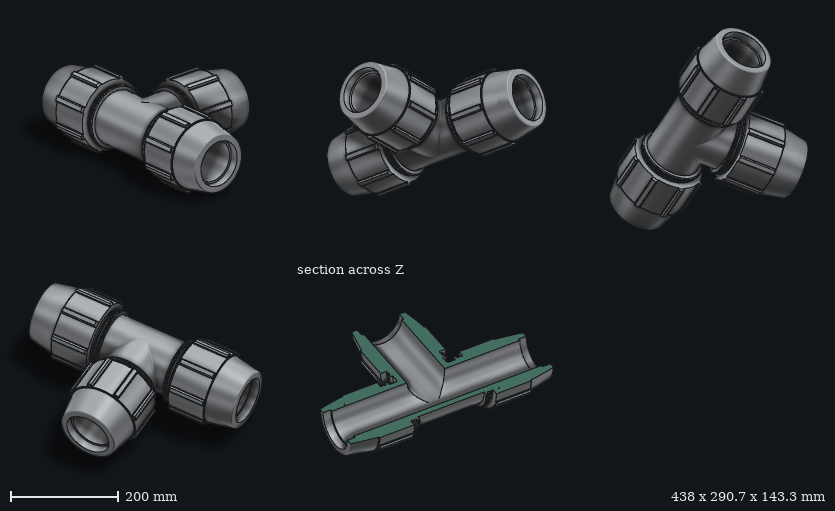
import cadquery as cq
import math

arm_reach = 219.0
pipe_dia = 108.0
bore_dia = 81.0
mouth_dia = 90.0
mouth_depth = 16.5

nose_length = 54.8
nose_tip_dia = 117.0
nose_base_dia = 135.5
nose_bulge = 0.65
nose_rounding = 3.5
nut_dia = 140.5
nut_chamfer = 1.5
nut_end = 131.0

rib_count = 8
rib_top_radius = 75.8
rib_shoulder_radius = 72.3
rib_root_radius = 68.0
rib_top_width = 8.5
rib_width = 12.3
rib_setback = 1.5
rib_outer_chamfer = 1.5
rib_inner_chamfer = 3.5

spigot_dia = 114.0
ring_dia = 119.5
ring_start = 135.0
ring_width = 3.0
flange_dia = 125.3
flange_start = 142.5
flange_width = 5.5
flange_chamfer = 1.8

crotch_radius = 3.0


def disc(dia, start, end):
    """Cylinder on the X axis between two distances from the open end of the arm."""
    return cq.Workplane("YZ", origin=(start - arm_reach, 0, 0)).circle(dia / 2).extrude(end - start)


def make_nose():
    """Slightly bulging cone in front of the nut, with a rounded tip."""
    tip_radius = nose_tip_dia / 2
    base_radius = nose_base_dia / 2
    tip_x = -arm_reach
    base_x = tip_x + nose_length
    shoulder_x = tip_x + nose_rounding
    middle = ((shoulder_x + base_x) / 2, (tip_radius + base_radius) / 2 + nose_bulge)
    rounding_middle = nose_rounding * (1 - math.sqrt(0.5))
    profile = (
        cq.Workplane("XY")
        .moveTo(tip_x, 0)
        .lineTo(tip_x, tip_radius - nose_rounding)
        .threePointArc(
            (tip_x + rounding_middle, tip_radius - rounding_middle),
            (shoulder_x, tip_radius),
        )
        .threePointArc(middle, (base_x, base_radius))
        .lineTo(base_x, 0)
        .close()
    )
    return profile.revolve(360, (0, 0, 0), (1, 0, 0))


def make_rib(inner_chamfer):
    """Grip rib along the top of the nut, bevelled outside and, if asked, towards the tee."""
    start = nose_length + rib_setback
    rib = (
        cq.Workplane("YZ", origin=(start - arm_reach, 0, 0))
        .polyline([
            (-rib_width / 2, rib_root_radius),
            (-rib_width / 2, rib_shoulder_radius),
            (-rib_top_width / 2, rib_top_radius),
            (rib_top_width / 2, rib_top_radius),
            (rib_width / 2, rib_shoulder_radius),
            (rib_width / 2, rib_root_radius),
        ])
        .close()
        .extrude(nut_end - start)
    )
    rib = rib.edges(">Z and <X").chamfer(rib_outer_chamfer)
    if inner_chamfer > 0:
        rib = rib.edges(">Z and >X").chamfer(inner_chamfer)
    return rib


def make_fitting(inner_chamfer):
    """Compression end on the -X arm: nose, ribbed nut, ring and flange."""
    nut = disc(nut_dia, nose_length, nut_end).edges("<X").chamfer(nut_chamfer)
    flange_end = flange_start + flange_width
    flange = disc(flange_dia, flange_start, flange_end).edges().chamfer(flange_chamfer)
    fitting = (
        make_nose()
        .union(nut)
        .union(disc(spigot_dia, nut_end, flange_start))
        .union(disc(ring_dia, ring_start, ring_start + ring_width))
        .union(flange)
    )
    rib = make_rib(inner_chamfer)
    rib_pitch = 360 / rib_count
    for index in range(rib_count):
        angle = (index + 0.5) * rib_pitch
        fitting = fitting.union(rib.rotate((0, 0, 0), (1, 0, 0), angle))
    return fitting


def make_bore():
    """Clearance on the -X arm: pipe bore up to the tee centre and the wider mouth."""
    return disc(bore_dia, 0, arm_reach).union(disc(mouth_dia, 0, mouth_depth))


def turn(shape, angle):
    """Copy of a -X arm shape turned about the Z axis onto another arm."""
    return shape.rotate((0, 0, 0), (0, 0, 1), angle)


run_turns = (0, 180)
branch_turn = -90

run = disc(pipe_dia, flange_start, 2 * arm_reach - flange_start)
branch = turn(disc(pipe_dia, flange_start, arm_reach), branch_turn)
result = run.union(branch).edges("%ELLIPSE").fillet(crotch_radius)

for angle in run_turns:
    result = result.union(turn(make_fitting(rib_inner_chamfer), angle))
result = result.union(turn(make_fitting(0), branch_turn))

for angle in (*run_turns, branch_turn):
    result = result.cut(turn(make_bore(), angle))